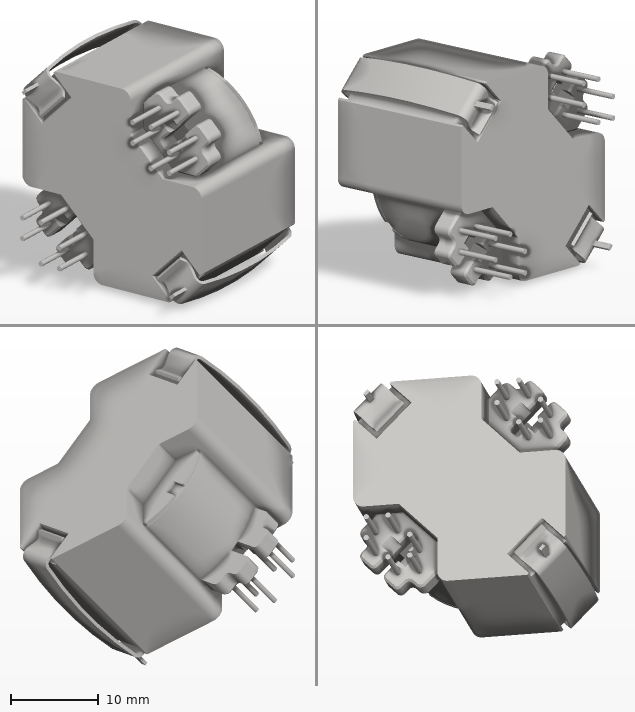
import cadquery as cq
import math


overall_size = 25.82

core_half_width = 12.35
core_half_length = 9.35
core_chamfer_radial = 14.3
core_lobe_edge = 2.55
core_notch_corner = 7.02
core_lobe_fillet = 1.25
cavity_radius = 10.59
cavity_half_length = 6.15
post_radius = 5.37

recess_half_width = 2.87
recess_mouth_depth = 1.2
recess_step_radial = 12.68
recess_front_depth = 0.75
recess_rear_depth = 1.1
recess_floor_radial = 11.05
recess_end_radial = 10.72

winding_radius = 10.48
winding_front = -4.98
winding_rear = 5.47
tube_radius = 6.1
flange_rear = 6.05
flange_chamfer_radial = 0.13
flange_chamfer_axial = 0.28
flange_radius = 10.22
flange_sector_edge = 2.81
wire_slot_half_width = 0.77
wire_slot_end_radial = 8.65
wire_slot_mouth_fillet = 0.3
nub_radius = 0.67
nub_height = 0.62
nub_chamfer = 0.2
nub_offset = 5.9

block_front = -7.25
block_clearance = 0.18
block_inner_radial = 6.9
block_half_width = 5.22
block_shoulder_radial = 12.2
block_arm_radial = 14.1
block_arm_half_width = 3.25
block_shoulder_fillet = 0.77
block_arm_fillet = 0.6
block_chamfer = 0.25
slot_half_width = 0.65
slot_end_radial = 8.13
slot_fillet = 0.4
ramp_inner_radial = 9.8
ramp_outer_radial = 11.45
ramp_half_width = 2.01
ramp_depth = 1.14

pin_pitch = 2.53
pin_radius = 0.3
pin_tip = -12.57
pin_grid = [(2, 3), (2, 4), (3, 2), (3, 4), (4, 2), (4, 3)]

clip_thickness = 0.4
clip_crown_radial = 16.0
clip_shift = -0.2
clip_bend_radial = 14.28
clip_bend_half_length = 8.4
clip_bend_radius = 1.03
clip_band_angle = 10.0
clip_hook_slope = 20.0
clip_hook_length = 1.42
clip_dip_radius = 0.52
clip_tip_slope = 45.0
clip_tip_length = 0.77
ground_pin_radial = 14.4
ground_pin_thickness = 0.4
ground_pin_width = 0.7
ground_pin_tip = -12.08
ground_pin_root = -9.4

clip_half_width = overall_size / 2 * math.sqrt(2) - clip_crown_radial

clip_turns = [45, 225]
nub_turn = -45
terminal_turns = [nub_turn, 135]


def turned(shape, angle):
    return shape.rotate((0, 0, 0), (0, 1, 0), angle)


def plane_at(y):
    """Workplane across the axis: local x is X, local y is Z, and extruding goes towards -Y."""
    return cq.Workplane("XZ", origin=(0, y, 0))


def disc(radius, y_rear, y_front):
    return plane_at(y_rear).circle(radius).extrude(y_rear - y_front)


def mirrored_outline(points):
    """Close an outline given on one side by its mirror image across the local x axis."""
    return points + [(x, -z) for x, z in reversed(points)]


def corner_edges(body, corner):
    """Select the edge parallel to Y that passes through an (X, Z) corner."""
    x, z = corner
    reach = 0.25
    box = cq.selectors.BoxSelector(
        (x - reach, -overall_size, z - reach),
        (x + reach, overall_size, z + reach),
    )
    return body.edges("|Y").edges(box)


def core_outline():
    w = core_half_width
    chamfer_end = core_chamfer_radial * math.sqrt(2) - w
    half = [
        (-chamfer_end, w),
        (core_lobe_edge, w),
        (core_lobe_edge, core_notch_corner),
        (core_notch_corner, core_lobe_edge),
        (w, core_lobe_edge),
        (w, -chamfer_end),
    ]
    return half + [(-x, -z) for x, z in half]


def clip_recess(floor_depth):
    """Cutter for one recess at the +Y end of the core, on the +X diagonal position."""
    end = core_half_length
    mouth_slope = (recess_mouth_depth - recess_front_depth) / (core_chamfer_radial - recess_step_radial)
    overrun = 0.52
    outer_radial = core_chamfer_radial + overrun
    mouth_depth = max(floor_depth, recess_mouth_depth + mouth_slope * overrun)
    return (
        cq.Workplane("XY")
        .polyline([
            (recess_end_radial, end),
            (recess_floor_radial, end - floor_depth),
            (recess_step_radial, end - floor_depth),
            (outer_radial, end - mouth_depth),
            (outer_radial, end),
        ])
        .close()
        .extrude(recess_half_width, both=True)
    )


def core_half(floor_depth):
    """The +Y half of the core."""
    body = plane_at(core_half_length).polyline(core_outline()).close().extrude(core_half_length)
    w = core_half_width
    e = core_lobe_edge
    for corner in [(e, w), (w, e), (-e, -w), (-w, -e)]:
        body = corner_edges(body, corner).fillet(core_lobe_fillet)
    body = body.cut(disc(cavity_radius, cavity_half_length, 0))
    body = body.union(disc(post_radius, cavity_half_length, 0))
    for turn in clip_turns:
        body = body.cut(turned(clip_recess(floor_depth), turn))
    return body


core_rear = core_half(recess_rear_depth)
core_front = core_half(recess_front_depth).mirror("XZ")


winding = disc(winding_radius, winding_rear, winding_front).cut(
    disc(tube_radius, winding_rear, winding_front)
)


def flange_sector():
    """Part of the rear flange in the +X, +Z notch, with a steep chamfer on the winding side."""
    window = (
        plane_at(flange_rear)
        .rect(winding_radius, winding_radius, centered=False)
        .extrude(flange_rear - winding_rear)
        .translate((flange_sector_edge, 0, flange_sector_edge))
    )
    rim = disc(winding_radius, flange_rear, winding_rear)
    rim = rim.faces("<Y").chamfer(flange_chamfer_radial, flange_chamfer_axial)
    return rim.intersect(window)


def wire_slot():
    """Slot with a flared mouth through the rim of the rear flange, on +X."""
    mouth = winding_radius - wire_slot_mouth_fillet
    flare = wire_slot_half_width + wire_slot_mouth_fillet
    side = [(wire_slot_end_radial, wire_slot_half_width), (mouth, wire_slot_half_width)]
    diagonal = wire_slot_mouth_fillet * math.sqrt(0.5)
    arc_middle = (mouth + diagonal, flare - diagonal)
    return (
        plane_at(flange_rear)
        .moveTo(*side[0])
        .lineTo(*side[1])
        .threePointArc(arc_middle, (winding_radius, flare))
        .lineTo(winding_radius, -flare)
        .threePointArc((arc_middle[0], -arc_middle[1]), (mouth, -wire_slot_half_width))
        .lineTo(wire_slot_end_radial, -wire_slot_half_width)
        .close()
        .extrude(flange_rear - winding_rear)
    )


def rear_flange():
    """Round flange inside the core, reaching the winding radius in both notches, slotted in one."""
    flange = disc(flange_radius, flange_rear, winding_rear)
    for turn in terminal_turns:
        flange = flange.union(turned(flange_sector(), turn - nub_turn))
    return flange.cut(turned(wire_slot(), terminal_turns[1]))


def nub():
    return disc(nub_radius, flange_rear + nub_height, flange_rear).faces(">Y").chamfer(nub_chamfer)


def terminal_block():
    """Terminal block on +X, without its wire slot."""
    wall_sum = (core_lobe_edge + block_clearance) * math.sqrt(2)
    half = [
        (block_inner_radial, block_inner_radial - wall_sum),
        (block_half_width + wall_sum, block_half_width),
        (block_shoulder_radial, block_half_width),
        (block_shoulder_radial, block_arm_half_width),
        (block_arm_radial, block_arm_half_width),
    ]
    arm_slot = [
        (block_arm_radial, slot_half_width),
        (slot_end_radial, slot_half_width),
    ]
    block = (
        plane_at(winding_front)
        .polyline(mirrored_outline(half + arm_slot))
        .close()
        .extrude(winding_front - block_front)
    )

    roundings = [
        (half[2], block_shoulder_fillet),
        (half[3], block_arm_fillet),
        (half[4], block_arm_fillet),
        (arm_slot[0], block_arm_fillet),
        (arm_slot[1], slot_fillet),
    ]
    for (x, z), radius in roundings:
        for side in (z, -z):
            block = corner_edges(block, (x, side)).fillet(radius)
    return block.faces("<Y").chamfer(block_chamfer)


def flange_relief():
    """Notch in the front flange where the block, with its narrower wire slot, takes its place."""
    margin = 0.25
    length = winding_radius - slot_end_radial + 2 * margin
    return (
        plane_at(winding_front)
        .center(slot_end_radial - margin + length / 2, 0)
        .rect(length, 2 * (slot_half_width + margin))
        .extrude(winding_front - block_front)
    )


def ramp_cutter():
    """V-shaped wire ramps that slope down to both sides of the slot."""
    slope = ramp_depth / (ramp_half_width - slot_half_width)
    bottom = block_front + slope * ramp_half_width
    return (
        cq.Workplane("YZ", origin=(ramp_inner_radial, 0, 0))
        .polyline([(block_front, -ramp_half_width), (bottom, 0), (block_front, ramp_half_width)])
        .close()
        .extrude(ramp_outer_radial - ramp_inner_radial)
    )


def terminal_pins():
    """The six pins of the block in the +X, +Z notch."""
    places = [(column * pin_pitch, row * pin_pitch) for column, row in pin_grid]
    return plane_at(block_front).pushPoints(places).circle(pin_radius).extrude(block_front - pin_tip)


def build_bobbin():
    body = disc(tube_radius, flange_rear, -flange_rear)
    body = body.union(rear_flange())
    body = body.union(disc(winding_radius, winding_front, -flange_rear))
    for turn in terminal_turns:
        body = body.cut(turned(flange_relief(), turn))
        body = body.union(turned(terminal_block().cut(ramp_cutter()), turn))
        body = body.union(turned(terminal_pins(), turn - nub_turn))
    body = body.union(nub().translate((nub_offset, 0, nub_offset)))
    return body.cut(disc(post_radius, flange_rear, -flange_rear))


bobbin = build_bobbin()


def polar(centre, radius, angle):
    a = math.radians(angle)
    return (centre[0] + radius * math.cos(a), centre[1] + radius * math.sin(a))


def clip_profile():
    """Points of the clip strip on the +Y side: the outer surface, then the inner one."""
    bend = (clip_bend_radial, clip_bend_half_length)
    hook_normal = 90 + clip_hook_slope
    tip_normal = 90 - clip_tip_slope
    bend_middle = (clip_band_angle + hook_normal) / 2
    dip_middle = (hook_normal + tip_normal) / 2
    hook_end = polar(polar(bend, clip_bend_radius, hook_normal), clip_hook_length, hook_normal + 90)
    dip = polar(hook_end, clip_dip_radius, hook_normal)

    def surface(depth):
        tip_start = polar(dip, -clip_dip_radius - depth, tip_normal)
        return [
            polar(bend, clip_bend_radius - depth, clip_band_angle),
            polar(bend, clip_bend_radius - depth, bend_middle),
            polar(bend, clip_bend_radius - depth, hook_normal),
            polar(dip, -clip_dip_radius - depth, hook_normal),
            polar(dip, -clip_dip_radius - depth, dip_middle),
            tip_start,
            polar(tip_start, clip_tip_length, tip_normal + 90),
        ]

    return surface(0), surface(clip_thickness)


def clip():
    outer, inner = clip_profile()

    def flipped(points):
        return [(x, -y) for x, y in points]

    def draw_out(sketch, p):
        """From the band end along bend, hook and dip to the tip."""
        return sketch.threePointArc(p[1], p[2]).lineTo(*p[3]).threePointArc(p[4], p[5]).lineTo(*p[6])

    def draw_back(sketch, p):
        """From the tip along dip, hook and bend to the band end."""
        return sketch.lineTo(*p[5]).threePointArc(p[4], p[3]).lineTo(*p[2]).threePointArc(p[1], p[0])

    low_outer = flipped(outer)
    low_inner = flipped(inner)
    sketch = cq.Workplane("XY").moveTo(*low_outer[0])
    sketch = sketch.threePointArc((clip_crown_radial, 0), outer[0])
    sketch = draw_out(sketch, outer).lineTo(*inner[6])
    sketch = draw_back(sketch, inner)
    sketch = sketch.threePointArc((clip_crown_radial - clip_thickness, 0), low_inner[0])
    sketch = draw_out(sketch, low_inner).lineTo(*low_outer[6])
    sketch = draw_back(sketch, low_outer).close()
    strip = sketch.extrude(clip_half_width, both=True).translate((0, clip_shift, 0))
    ground_pin = (
        plane_at(ground_pin_root)
        .center(ground_pin_radial, 0)
        .rect(ground_pin_thickness, ground_pin_width)
        .extrude(ground_pin_root - ground_pin_tip)
    )
    return strip.union(ground_pin)


clips = [turned(clip(), turn).val() for turn in clip_turns]

result = cq.Compound.makeCompound([
    core_rear.val(),
    core_front.val(),
    winding.val(),
    bobbin.val(),
    *clips,
])